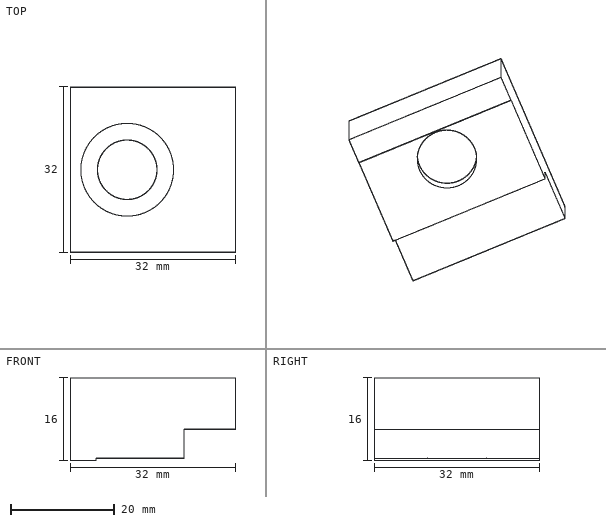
import cadquery as cq

side = 32.0
height = 16.0

flange_thickness = 10.0
step_x = 22.0
foot_length = 5.0
relief_depth = 0.4

hole_x = 11.0
hole_y = side / 2
hole_diameter = 11.5
counterbore_diameter = 18.0
counterbore_depth = 11.5


def stepped_block():
    """Side profile in XZ, extruded along +Y."""
    profile = [
        (0, 0),
        (foot_length, 0),
        (foot_length, relief_depth),
        (step_x, relief_depth),
        (step_x, height - flange_thickness),
        (side, height - flange_thickness),
        (side, height),
        (0, height),
    ]
    return cq.Workplane("XZ").polyline(profile).close().extrude(-side)


result = (
    stepped_block()
    .faces(">Z")
    .workplane(origin=(hole_x, hole_y, height))
    .cboreHole(hole_diameter, counterbore_diameter, counterbore_depth)
)